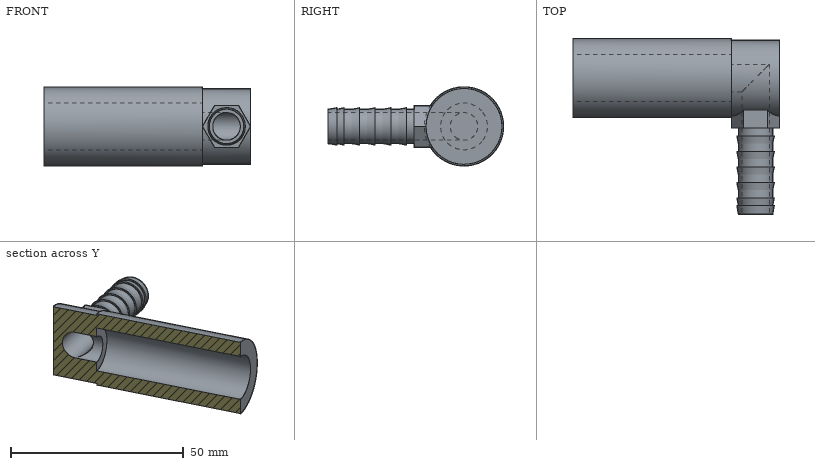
import cadquery as cq
import math

total_length = 60.0
sleeve_length = 46.0
sleeve_diameter = 23.0
elbow_diameter = 22.0
sleeve_bore_diameter = 13.6
elbow_length = total_length - sleeve_length
outlet_x = sleeve_length + elbow_length / 2

outlet_reach = 39.5
barb_length = 25.0
hex_face_reach = outlet_reach - barb_length
hex_across_flats = 12.1
hex_across_corners = hex_across_flats / math.cos(math.radians(30))

barb_root_radius = 5.0
barb_crest_radius = 5.45
barb_step = 2.25
spaced_barb_count = 5
tip_length = 2.6

passage_diameter = 8.0


def make_cylinder_along_x(diameter, start, length):
    """Solid cylinder on the X axis."""
    return cq.Workplane("YZ", origin=(start, 0, 0)).circle(diameter / 2).extrude(length)


def make_hexagon():
    """Hexagon with two corners on the X direction, running from the body axis to its face."""
    return (
        cq.Workplane("XZ", origin=(outlet_x, 0, 0))
        .polygon(6, hex_across_corners)
        .extrude(hex_face_reach)
    )


def make_hose_barb():
    """Revolved hose tail: barbs spaced by plain stretches, then one more barb as the tip."""
    outline = cq.Workplane("XY", origin=(outlet_x, 0, 0)).moveTo(0, -hex_face_reach)
    outline = outline.lineTo(barb_root_radius, -hex_face_reach)
    for index in range(spaced_barb_count):
        crest_y = -hex_face_reach - barb_step * (2 * index + 1)
        is_last = index == spaced_barb_count - 1
        taper_end_y = tip_length - outlet_reach if is_last else crest_y - barb_step
        outline = (
            outline.lineTo(barb_root_radius, crest_y)
            .lineTo(barb_crest_radius, crest_y)
            .lineTo(barb_root_radius, taper_end_y)
        )
    outline = (
        outline.lineTo(barb_crest_radius, tip_length - outlet_reach)
        .lineTo(barb_root_radius, -outlet_reach)
        .lineTo(0, -outlet_reach)
    )
    return outline.close().revolve(360, (0, 0, 0), (0, 1, 0))


def make_passage():
    """Elbow passage: two equal bores that meet in a 45 degree mitre on the body axis."""
    radius = passage_diameter / 2
    inlet = make_cylinder_along_x(passage_diameter, 0, outlet_x + radius)
    outlet = (
        cq.Workplane("XZ", origin=(outlet_x, radius, 0))
        .circle(radius)
        .extrude(outlet_reach + radius)
    )
    inlet_side = (
        cq.Workplane("XY")
        .polyline([
            (0, -radius),
            (outlet_x - radius, -radius),
            (outlet_x + radius, radius),
            (0, radius),
        ])
        .close()
        .extrude(radius, both=True)
    )
    outlet_side = (
        cq.Workplane("XY")
        .polyline([
            (outlet_x - radius, -outlet_reach),
            (outlet_x + radius, -outlet_reach),
            (outlet_x + radius, radius),
            (outlet_x - radius, -radius),
        ])
        .close()
        .extrude(radius, both=True)
    )
    return inlet.intersect(inlet_side).union(outlet.intersect(outlet_side))


sleeve = make_cylinder_along_x(sleeve_diameter, 0, sleeve_length)
elbow = make_cylinder_along_x(elbow_diameter, sleeve_length, elbow_length)
sleeve_bore = make_cylinder_along_x(sleeve_bore_diameter, 0, sleeve_length)

body = sleeve.union(elbow).union(make_hexagon()).union(make_hose_barb())
result = body.cut(sleeve_bore).cut(make_passage())